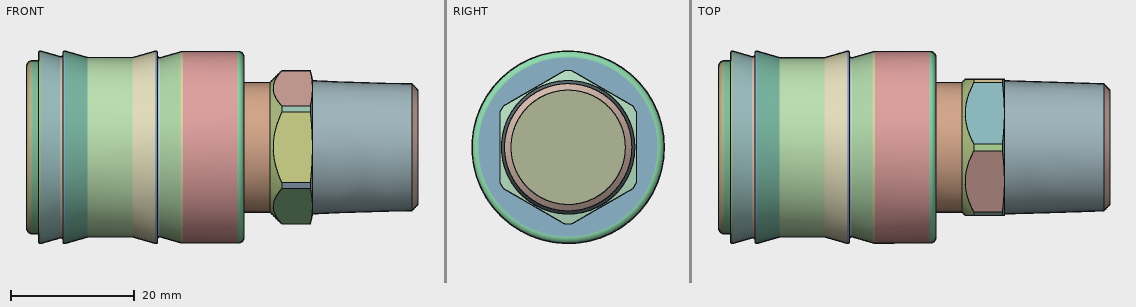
import cadquery as cq
import math


length = 63.2
sleeve_front = 1.95
rib_pitch = 3.9
waist_middle = 13.5
sleeve_end = 35.15
nut_start = 39.3
nut_end = 46.2

nose_diameter = 28.0
waist_diameter = 29.0
crest_diameter = 31.1
collar_diameter = 31.0
flank_angle = 16.0
rib_blend = 0.3
collar_blend = 1.45
end_fillet = 1.0

neck_diameter = 21.0
nut_across_flats = 22.0
nut_corner_diameter = 24.8
nut_front_bevel_angle = 45.0
nut_rear_bevel = 0.4
stub_start_diameter = 21.55
stub_taper = 1 / 16
stub_chamfer = 1.0

nose_radius = nose_diameter / 2
waist_radius = waist_diameter / 2
collar_radius = collar_diameter / 2
neck_radius = neck_diameter / 2
nut_corner_radius = nut_corner_diameter / 2
stub_start_radius = stub_start_diameter / 2
stub_end_radius = stub_start_radius - stub_taper * (length - nut_end) / 2

flank_slope = math.tan(math.radians(flank_angle))

tip_half_angle = math.radians((90 - flank_angle) / 2)
tip_radius = crest_diameter / 2 + rib_blend * (1 / math.tan(tip_half_angle) - 1)
tip_flank_length = (tip_radius - waist_radius) / flank_slope

second_rib = sleeve_front + rib_pitch
third_rib = 2 * waist_middle - second_rib
collar_start = third_rib + rib_pitch
front_valley_radius = tip_radius - rib_pitch * flank_slope
rear_valley_radius = collar_radius - rib_pitch * flank_slope


def revolve_about_x(points):
    """Turn an outline of (x, radius) points, closed along the axis, into a solid."""
    axis_closed = [(points[0][0], 0)] + points + [(points[-1][0], 0)]
    return cq.Workplane("XY").polyline(axis_closed).close().revolve(360, (0, 0, 0), (1, 0, 0))


def circular_edges_at(body, x, radius):
    """Select the full circles at one station with the given radius."""
    tolerance = 0.005
    return body.edges("%CIRCLE").filter(
        lambda edge: abs(edge.Center().x - x) < tolerance and abs(edge.radius() - radius) < tolerance
    )


def make_sleeve():
    sleeve = revolve_about_x([
        (0, nose_radius),
        (sleeve_front, nose_radius),
        (sleeve_front, tip_radius),
        (second_rib, front_valley_radius),
        (second_rib, tip_radius),
        (second_rib + tip_flank_length, waist_radius),
        (third_rib - tip_flank_length, waist_radius),
        (third_rib, tip_radius),
        (third_rib, rear_valley_radius),
        (collar_start, collar_radius),
        (sleeve_end, collar_radius),
    ])
    roundings = [
        (0, nose_radius, end_fillet),
        (sleeve_front, tip_radius, rib_blend),
        (second_rib, front_valley_radius, rib_blend),
        (second_rib, tip_radius, rib_blend),
        (third_rib, tip_radius, rib_blend),
        (third_rib, rear_valley_radius, rib_blend),
        (collar_start, collar_radius, collar_blend),
        (sleeve_end, collar_radius, end_fillet),
    ]
    for x, radius, rounding in roundings:
        sleeve = circular_edges_at(sleeve, x, radius).fillet(rounding)
    return sleeve


def make_neck():
    return revolve_about_x([(sleeve_end, neck_radius), (nut_start, neck_radius)])


def make_nut():
    """Hexagon with two flats facing +Y and -Y, trimmed to a turned blank with bevelled ends."""
    hexagon = (
        cq.Workplane("YZ", origin=(nut_start, 0, 0))
        .polygon(6, nut_across_flats, circumscribed=True)
        .extrude(nut_end - nut_start)
    )
    bevel_height = nut_corner_radius - neck_radius
    front_bevel = bevel_height / math.tan(math.radians(nut_front_bevel_angle))
    blank = revolve_about_x([
        (nut_start, neck_radius),
        (nut_start + front_bevel, nut_corner_radius),
        (nut_end - nut_rear_bevel, nut_corner_radius),
        (nut_end, stub_start_radius),
    ])
    return hexagon.intersect(blank)


def make_stub():
    stub = revolve_about_x([(nut_end, stub_start_radius), (length, stub_end_radius)])
    return stub.faces(">X").chamfer(stub_chamfer)


result = make_sleeve().union(make_neck()).union(make_nut()).union(make_stub())